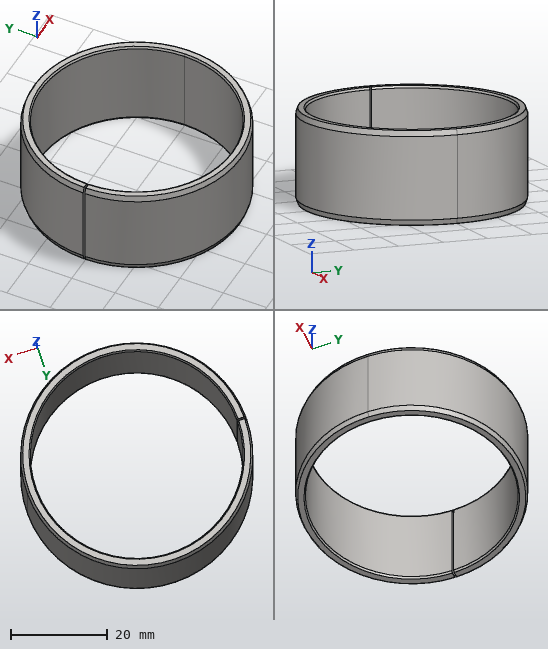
import cadquery as cq

outer_diameter = 48.0
wall = 2.0
height = 20.0
outer_chamfer_height = 1.2
outer_chamfer_depth = 0.45
inner_chamfer_height = 0.5
inner_chamfer_depth = 0.3
slit_width = 0.4

outer_radius = outer_diameter / 2
inner_radius = outer_radius - wall


def wall_profile():
    """Wall section in the XZ plane, chamfered at all four corners."""
    return [
        (inner_radius + inner_chamfer_depth, 0),
        (outer_radius - outer_chamfer_depth, 0),
        (outer_radius, outer_chamfer_height),
        (outer_radius, height - outer_chamfer_height),
        (outer_radius - outer_chamfer_depth, height),
        (inner_radius + inner_chamfer_depth, height),
        (inner_radius, height - inner_chamfer_height),
        (inner_radius, inner_chamfer_height),
    ]


ring = cq.Workplane("XZ").polyline(wall_profile()).close().revolve(360, (0, 0), (0, 1))

slit = (
    cq.Workplane("XY")
    .box(outer_radius, slit_width, height, centered=False)
    .translate((-outer_radius, 0, 0))
)

result = ring.cut(slit)